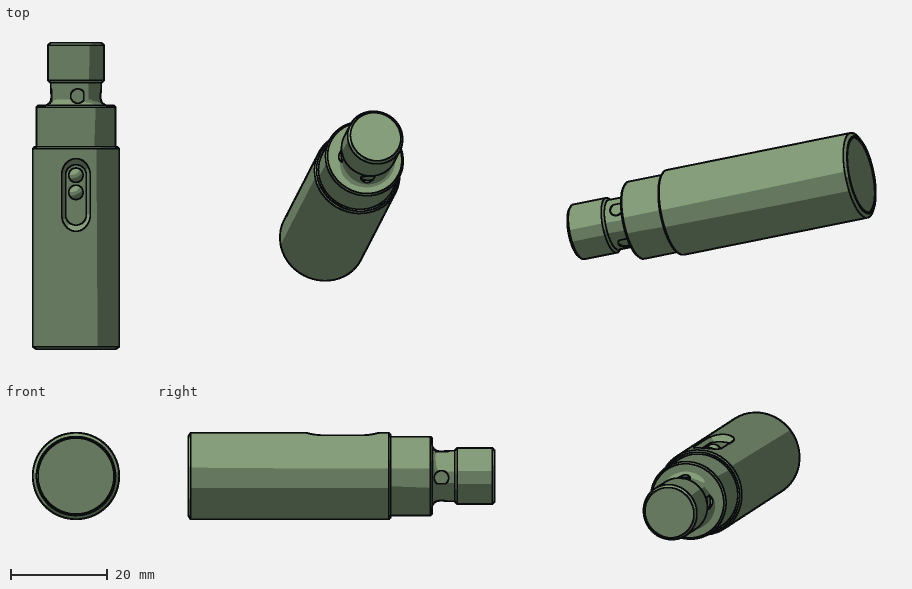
import cadquery as cq
import math

total_length = 63.5
barrel_radius = 18.0 / 2
barrel_end = 41.9
face_rim_radius = 16.4 / 2
face_chamfer_length = 0.5
step_chamfer = 0.4

recess_radius = 15.75 / 2
recess_depth = 0.2

collar_radius = 16.4 / 2
collar_end = 50.55
connector_radius = 11.6 / 2
connector_start = 55.7
connector_chamfer = 0.5
neck_radius = 10.55 / 2
neck_fillet = 1.2

dimple_count = 4
dimple_radius = 3.0 / 2
dimple_y = 52.45
dimple_offset = 0.4
dimple_floor = 5.0

window_front_y = 27.9
window_back_y = 36.05
window_floor_z = 7.6
window_floor_radius = 2.15
window_taper = 43.0
window_overcut = 0.65
lamp_radius = 3.0 / 2
lamp_height = 0.8
lamp_pitch = 3.55
lamp_count = 2


def make_body():
    """Revolve the stepped outline around the Y axis."""
    arc_middle = neck_fillet * (1 - math.sqrt(0.5))
    return (
        cq.Workplane("XY")
        .lineTo(face_rim_radius, 0)
        .lineTo(barrel_radius, face_chamfer_length)
        .lineTo(barrel_radius, barrel_end - step_chamfer)
        .lineTo(barrel_radius - step_chamfer, barrel_end)
        .lineTo(collar_radius, barrel_end)
        .lineTo(collar_radius, collar_end - step_chamfer)
        .lineTo(collar_radius - step_chamfer, collar_end)
        .lineTo(neck_radius + neck_fillet, collar_end)
        .threePointArc(
            (neck_radius + arc_middle, collar_end + arc_middle),
            (neck_radius, collar_end + neck_fillet),
        )
        .lineTo(neck_radius, connector_start - connector_chamfer)
        .lineTo(connector_radius, connector_start)
        .lineTo(connector_radius, total_length - connector_chamfer)
        .lineTo(connector_radius - connector_chamfer, total_length)
        .lineTo(0, total_length)
        .close()
        .revolve(360, (0, 0, 0), (0, 1, 0))
    )


def make_face_recess():
    return cq.Workplane("XZ").circle(recess_radius).extrude(-recess_depth)


def make_dimple(angle):
    """Flat-bottomed round pocket in the neck, turned about the Y axis."""
    return (
        cq.Workplane("XY", origin=(dimple_offset, dimple_y, dimple_floor))
        .circle(dimple_radius)
        .extrude(connector_radius - dimple_floor)
        .rotate((0, 0, 0), (0, 1, 0), angle)
    )


def make_window():
    """Slot that widens upward from its flat floor."""
    slot_length = window_back_y - window_front_y + 2 * window_floor_radius
    middle_y = (window_front_y + window_back_y) / 2
    return (
        cq.Workplane("XY", origin=(0, middle_y, window_floor_z))
        .slot2D(slot_length, 2 * window_floor_radius, 90)
        .extrude(barrel_radius - window_floor_z + window_overcut, taper=-window_taper)
    )


def make_lamp(y):
    """Spherical cap standing on the window floor."""
    dome_radius = (lamp_radius**2 + lamp_height**2) / (2 * lamp_height)
    centre_z = window_floor_z + lamp_height - dome_radius
    return cq.Workplane("XY", origin=(0, y, centre_z)).sphere(dome_radius)


result = make_body().cut(make_face_recess())
for index in range(dimple_count):
    result = result.cut(make_dimple(index * 360 / dimple_count))
result = result.cut(make_window())
for index in range(lamp_count):
    result = result.union(make_lamp(window_back_y - index * lamp_pitch))